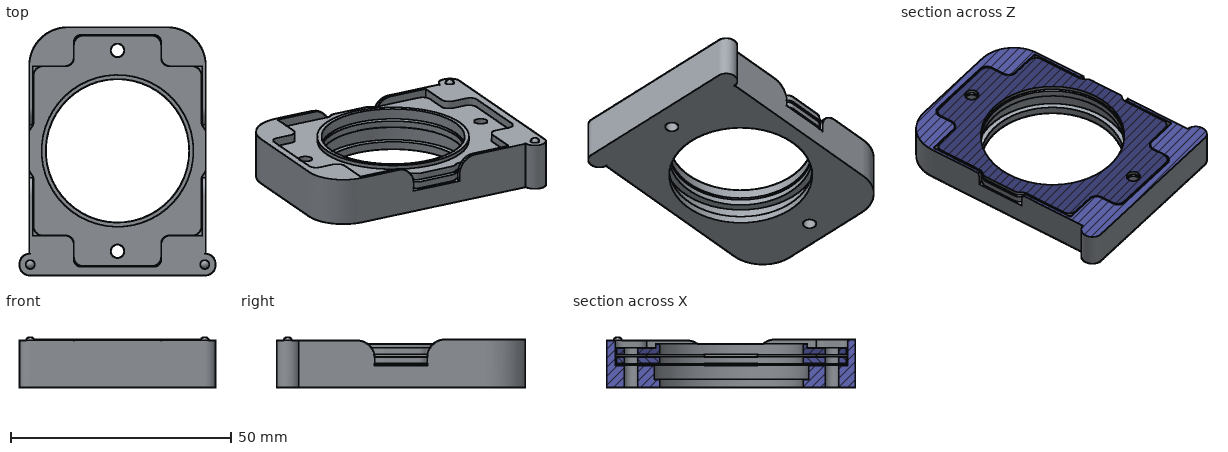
import cadquery as cq
import math

side_x = 20.1
lug_tip_x = 22.3
front_y = -28.35
rear_y = front_y + 56.45
rear_corner_radius = 8.85
lug_depth = 5.0
lug_fillet = 2.4
middle_y = (front_y + rear_y) / 2
lug_y = front_y + lug_depth / 2

front_height = 10.7
rear_height = 10.95
pocket_floor = 5.0
overall_height = 11.45

bore_diameter = 32.5
counterbore_diameter = 35.0
counterbore_floor = 1.85

pocket_half = 19.25
pocket_tab_half_width = 9.95
pocket_tab_end_y = 26.35
pocket_tab_fillet = 1.75
pocket_shoulder_fillet = 2.0

notch_half_width = 6.0
notch_mouth_radius = 4.0

bump_x = 19.8
bump_base_radius = 1.0
bump_height = overall_height - front_height

plate_half_width = pocket_half - 0.2
plate_half_length = pocket_half - 0.05
plate_tab_half_width = pocket_tab_half_width - 0.05
plate_tab_end_y = pocket_tab_end_y - 0.2
plate_fillet = 2.0
grip_flat_half_width = 3.95
lower_plate_bottom = 5.4
upper_plate_bottom = 7.5
plate_thickness = 1.5
ring_diameter = 34.5
ring_top = 9.95

screw_hole_diameter = 3.0
screw_hole_y = 22.8
screw_hole_points = [(0, -screw_hole_y), (0, screw_hole_y)]


def tabbed_square(half_width, half_length, tab_half_width, tab_end_y, height):
    """Rectangle crossed by a narrower strip that forms the front and rear tabs."""
    square = cq.Workplane("XY").rect(2 * half_width, 2 * half_length).extrude(height)
    strip = cq.Workplane("XY").rect(2 * tab_half_width, 2 * tab_end_y).extrude(height)
    return square.union(strip)


def shoulder_edges():
    """Selector for the vertical edges where the pocket tabs meet its square."""
    x_limit = pocket_tab_half_width + 0.55
    y_limit = pocket_half + 0.55
    return cq.selectors.BoxSelector((-x_limit, -y_limit, 0), (x_limit, y_limit, rear_height))


def make_blank():
    """Solid housing block with rounded rear corners and front lugs."""
    block = (
        cq.Workplane("XY")
        .moveTo(0, middle_y)
        .rect(2 * side_x, rear_y - front_y)
        .extrude(rear_height)
        .edges("|Z and >Y")
        .fillet(rear_corner_radius)
    )
    lugs = (
        cq.Workplane("XY")
        .moveTo(0, lug_y)
        .rect(2 * lug_tip_x, lug_depth)
        .extrude(front_height)
        .edges("|Z")
        .fillet(lug_fillet)
    )
    lug_strip = cq.Workplane("XY").moveTo(0, lug_y).rect(2 * lug_tip_x, lug_depth).extrude(rear_height)
    front_step = (
        cq.Workplane("XY", origin=(0, 0, front_height))
        .moveTo(0, (front_y + middle_y) / 2)
        .rect(2 * lug_tip_x, middle_y - front_y)
        .extrude(rear_height - front_height)
    )
    return block.cut(lug_strip).union(lugs).cut(front_step)


def make_pocket():
    """Space for the plates, open at the top."""
    pocket = tabbed_square(
        pocket_half, pocket_half, pocket_tab_half_width, pocket_tab_end_y, rear_height - pocket_floor
    )
    pocket = pocket.edges("|Z and (>Y or <Y)").fillet(pocket_tab_fillet)
    pocket = pocket.edges("|Z").edges(shoulder_edges()).fillet(pocket_shoulder_fillet)
    return pocket.translate((0, 0, pocket_floor))


def make_notch():
    """Grip notch across the housing, its mouth flared by two convex arcs."""
    mouth = notch_half_width + notch_mouth_radius
    arc_reach = notch_mouth_radius * (1 - math.sqrt(0.5))
    return (
        cq.Workplane("YZ", origin=(0, middle_y, 0))
        .moveTo(-notch_half_width, pocket_floor)
        .lineTo(-notch_half_width, front_height - notch_mouth_radius)
        .threePointArc((-notch_half_width - arc_reach, front_height - arc_reach), (-mouth, front_height))
        .lineTo(-mouth, rear_height)
        .lineTo(mouth, rear_height)
        .threePointArc(
            (notch_half_width + arc_reach, rear_height - arc_reach),
            (notch_half_width, rear_height - notch_mouth_radius),
        )
        .lineTo(notch_half_width, pocket_floor)
        .close()
        .extrude(side_x, both=True)
    )


def make_bumps():
    """Spherical caps on the lugs."""
    sphere_radius = (bump_base_radius**2 + bump_height**2) / (2 * bump_height)
    bumps = cq.Workplane("XY").pushPoints([(-bump_x, lug_y), (bump_x, lug_y)]).sphere(sphere_radius)
    return bumps.translate((0, 0, overall_height - sphere_radius))


def make_housing():
    bore = cq.Workplane("XY").circle(bore_diameter / 2).extrude(rear_height)
    counterbore = (
        cq.Workplane("XY", origin=(0, 0, counterbore_floor))
        .circle(counterbore_diameter / 2)
        .extrude(rear_height)
    )
    screw_holes = (
        cq.Workplane("XY").pushPoints(screw_hole_points).circle(screw_hole_diameter / 2).extrude(rear_height)
    )
    housing = make_blank().cut(make_pocket()).cut(make_notch())
    return housing.cut(bore).cut(counterbore).cut(screw_holes).union(make_bumps())


def make_grips():
    """Side bulges that fill the notches, blended into the plate by S-curves."""
    half_step = (side_x - plate_half_width) / 2
    half_run = math.sqrt(plate_fillet**2 - (plate_fillet - half_step) ** 2)
    blend_y = grip_flat_half_width + half_run
    root_y = blend_y + half_run
    blend_x = plate_half_width + half_step
    right_grip = (
        cq.Workplane("XY")
        .moveTo(0, -root_y)
        .lineTo(plate_half_width, -root_y)
        .radiusArc((blend_x, -blend_y), plate_fillet)
        .radiusArc((side_x, -grip_flat_half_width), -plate_fillet)
        .lineTo(side_x, grip_flat_half_width)
        .radiusArc((blend_x, blend_y), -plate_fillet)
        .radiusArc((plate_half_width, root_y), plate_fillet)
        .lineTo(0, root_y)
        .close()
        .extrude(plate_thickness)
    )
    return right_grip.union(right_grip.mirror("YZ"))


def make_plate(bottom):
    """Flat plate with its bore and screw holes."""
    plate = tabbed_square(
        plate_half_width, plate_half_length, plate_tab_half_width, plate_tab_end_y, plate_thickness
    )
    plate = plate.edges("|Z").fillet(plate_fillet).union(make_grips())
    bore = cq.Workplane("XY").circle(bore_diameter / 2).extrude(plate_thickness)
    screw_holes = (
        cq.Workplane("XY")
        .pushPoints(screw_hole_points)
        .circle(screw_hole_diameter / 2)
        .extrude(plate_thickness)
    )
    return plate.cut(bore).cut(screw_holes).translate((0, 0, bottom))


def make_ring():
    """Raised collar around the bore of the upper plate."""
    ring_base = upper_plate_bottom + plate_thickness
    return (
        cq.Workplane("XY", origin=(0, 0, ring_base))
        .circle(ring_diameter / 2)
        .circle(bore_diameter / 2)
        .extrude(ring_top - ring_base)
    )


housing = make_housing()
lower_plate = make_plate(lower_plate_bottom)
upper_plate = make_plate(upper_plate_bottom).union(make_ring())

result = cq.Compound.makeCompound([housing.val(), lower_plate.val(), upper_plate.val()])